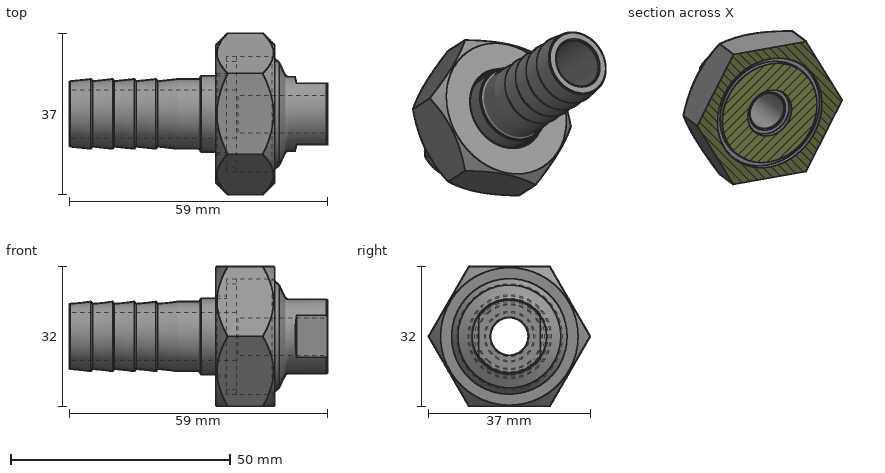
import cadquery as cq
import math

LENGTH = 59.0

BARB_COUNT = 5
BARB_PITCH = 4.95
BARB_STEP = 0.4
BARB_CREST_R = 16.0 / 2
BARB_ROOT_R = 7.5
TIP_CHAMFER = 0.25
TAIL_BORE_R = 11.0 / 2
BORE_CHAMFER = 0.3
NECK_END_X = 29.45
COLLAR_R = 17.5 / 2
SHOULDER_R = 17.0 / 2
FLANGE_R = 24.15 / 2
FLANGE_THICKNESS = 2.35
NECK_FILLET = SHOULDER_R - BARB_CREST_R
SHOULDER_X = NECK_END_X + NECK_FILLET
COLLAR_X = SHOULDER_X + COLLAR_R - SHOULDER_R

NUT_X = 33.45
NUT_WIDTH = 13.5
NUT_ACROSS_FLATS = 32.0
NUT_FACE_R = 15.7
NUT_LIP = 2.35
NUT_HOLE_R = 18.5 / 2
NUT_HOLE_CHAMFER = 0.3
THREAD_R = 26.4 / 2
NUT_CORNER_R = NUT_ACROSS_FLATS / math.sqrt(3)
NUT_END_X = NUT_X + NUT_WIDTH
FLANGE_X = NUT_X + NUT_LIP
SEAT_X = FLANGE_X + FLANGE_THICKNESS

OUTLET_R = 17.0 / 2
OUTLET_BORE_R = 8.55 / 2
THREAD_END_X = 46.25
CONE_X = 47.95
CONE_R = 23.5 / 2
CONE_END_X = 49.5
CONE_FILLET = 0.9
END_CHAMFER_LENGTH = 0.35
END_CHAMFER_DEPTH = 0.2
FLAT_X = 51.9
FLAT_RAMP = 0.35
FLAT_HALF_WIDTH = 7.0


def turned(points):
    """Solid of revolution about X from (x, radius) points."""
    return cq.Workplane("XY").polyline(points).close().revolve(360, (0, 0, 0), (1, 0, 0))


def make_hose_tail():
    outline = [
        (0, TAIL_BORE_R + BORE_CHAMFER),
        (0, BARB_ROOT_R - TIP_CHAMFER),
        (TIP_CHAMFER, BARB_ROOT_R),
    ]
    for barb in range(1, BARB_COUNT):
        crest_x = barb * BARB_PITCH
        outline += [(crest_x, BARB_CREST_R), (crest_x + BARB_STEP, BARB_ROOT_R)]
    outline += [
        (BARB_COUNT * BARB_PITCH, BARB_CREST_R),
        (NECK_END_X, BARB_CREST_R),
    ]
    fillet_middle = (
        NECK_END_X + NECK_FILLET * math.sin(math.pi / 4),
        SHOULDER_R - NECK_FILLET * math.cos(math.pi / 4),
    )
    collar_and_bore = [
        (COLLAR_X, COLLAR_R),
        (FLANGE_X, COLLAR_R),
        (FLANGE_X, FLANGE_R),
        (SEAT_X, FLANGE_R),
        (SEAT_X, TAIL_BORE_R),
        (BORE_CHAMFER, TAIL_BORE_R),
    ]
    return (
        cq.Workplane("XY")
        .polyline(outline)
        .threePointArc(fillet_middle, (SHOULDER_X, SHOULDER_R))
        .polyline(collar_and_bore, includeCurrent=True)
        .close()
        .revolve(360, (0, 0, 0), (1, 0, 0))
    )


def make_nut():
    hexagon = (
        cq.Workplane("YZ", origin=(NUT_X, 0, 0))
        .polygon(6, 2 * NUT_CORNER_R)
        .extrude(NUT_WIDTH)
    )
    corner_chamfer = NUT_CORNER_R - NUT_FACE_R
    envelope = turned([
        (NUT_X, 0),
        (NUT_X, NUT_FACE_R),
        (NUT_X + corner_chamfer, NUT_CORNER_R),
        (NUT_END_X - corner_chamfer, NUT_CORNER_R),
        (NUT_END_X, NUT_FACE_R),
        (NUT_END_X, 0),
    ])
    bore = turned([
        (NUT_X, 0),
        (NUT_X, NUT_HOLE_R + NUT_HOLE_CHAMFER),
        (NUT_X + NUT_HOLE_CHAMFER, NUT_HOLE_R),
        (FLANGE_X, NUT_HOLE_R),
        (FLANGE_X, THREAD_R),
        (NUT_END_X, THREAD_R),
        (NUT_END_X, 0),
    ])
    return hexagon.intersect(envelope).cut(bore)


def cut_spanner_flats(body):
    """Two parallel flats facing +Y and -Y, each with a sloped run-out."""
    slope = FLAT_RAMP / (OUTLET_R - FLAT_HALF_WIDTH)
    cut_y = 2 * OUTLET_R - FLAT_HALF_WIDTH
    ramp_top_x = FLAT_X - slope * (cut_y - FLAT_HALF_WIDTH)
    cutter = (
        cq.Workplane("XY", origin=(0, 0, -OUTLET_R))
        .polyline([
            (FLAT_X, FLAT_HALF_WIDTH),
            (LENGTH, FLAT_HALF_WIDTH),
            (LENGTH, cut_y),
            (ramp_top_x, cut_y),
        ])
        .close()
        .extrude(2 * OUTLET_R)
    )
    return body.cut(cutter).cut(cutter.mirror("XZ"))


def make_outlet():
    body = turned([
        (SEAT_X, OUTLET_BORE_R + BORE_CHAMFER),
        (SEAT_X, THREAD_R),
        (THREAD_END_X, THREAD_R),
        (CONE_X, CONE_R),
        (CONE_END_X, OUTLET_R),
        (LENGTH - END_CHAMFER_LENGTH, OUTLET_R),
        (LENGTH, OUTLET_R - END_CHAMFER_DEPTH),
        (LENGTH, OUTLET_BORE_R),
        (SEAT_X + BORE_CHAMFER, OUTLET_BORE_R),
    ])
    cone_foot = cq.selectors.BoxSelector(
        (CONE_END_X - 0.05, -OUTLET_R - 0.6, -OUTLET_R - 0.6),
        (CONE_END_X + 0.05, OUTLET_R + 0.6, OUTLET_R + 0.6),
    )
    body = body.edges(cone_foot).fillet(CONE_FILLET)
    return cut_spanner_flats(body)


hose_tail = make_hose_tail()
nut = make_nut()
outlet = make_outlet()

result = cq.Compound.makeCompound([hose_tail.val(), nut.val(), outlet.val()])